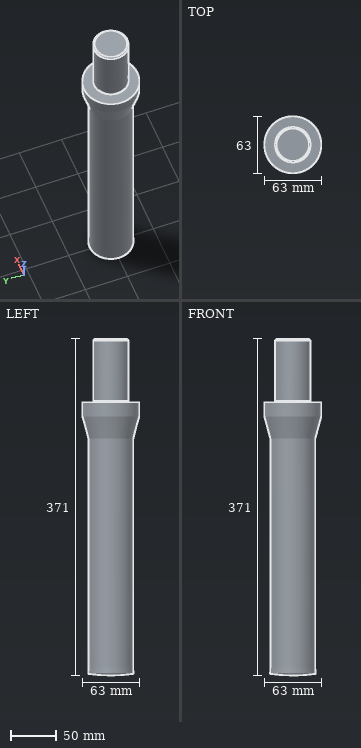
import cadquery as cq

TOTAL_LENGTH = 371.0
HEAD_RADIUS = 31.5
BARREL_RADIUS = 25.0
FOOT_RADIUS = 25.2
ROD_RADIUS = 19.5

FOOT_EDGE = 2.0
FOOT_TOP = 9.5
CONE_BOTTOM = 261.0
HEAD_BOTTOM = 285.5
HEAD_TOP = 301.0

ROD_CHAMFER = 2.0
FOOT_FILLET = 1.0
NECK_FILLET = 3.5


def ring_edges(height):
    """Selector for the circular edges centred on the axis at one height."""
    tolerance = 0.05
    reach = 2 * HEAD_RADIUS
    return cq.selectors.BoxSelector(
        (-reach, -reach, height - tolerance), (reach, reach, height + tolerance)
    )


def make_housing():
    """Barrel with a flared head above and a slightly flared, domed foot below."""
    dome_sphere_radius = (FOOT_RADIUS**2 + FOOT_EDGE**2) / (2 * FOOT_EDGE)
    dome_mid_x = FOOT_RADIUS / 2
    dome_mid_z = dome_sphere_radius - (dome_sphere_radius**2 - dome_mid_x**2) ** 0.5
    profile = (
        cq.Workplane("XZ")
        .threePointArc((dome_mid_x, dome_mid_z), (FOOT_RADIUS, FOOT_EDGE))
        .lineTo(BARREL_RADIUS, FOOT_TOP)
        .lineTo(BARREL_RADIUS, CONE_BOTTOM)
        .lineTo(HEAD_RADIUS, HEAD_BOTTOM)
        .lineTo(HEAD_RADIUS, HEAD_TOP)
        .lineTo(0, HEAD_TOP)
        .close()
    )
    housing = profile.revolve(360, (0, 0, 0), (0, 1, 0))
    housing = housing.edges(ring_edges(CONE_BOTTOM)).fillet(NECK_FILLET)
    return housing.edges(ring_edges(FOOT_EDGE)).fillet(FOOT_FILLET)


def make_rod():
    """Plain rod standing on the head, chamfered at both ends."""
    return (
        cq.Workplane("XY", origin=(0, 0, HEAD_TOP))
        .circle(ROD_RADIUS)
        .extrude(TOTAL_LENGTH - HEAD_TOP)
        .faces("<Z or >Z")
        .edges()
        .chamfer(ROD_CHAMFER)
    )


housing = make_housing()
rod = make_rod()
result = cq.Compound.makeCompound([housing.val(), rod.val()])